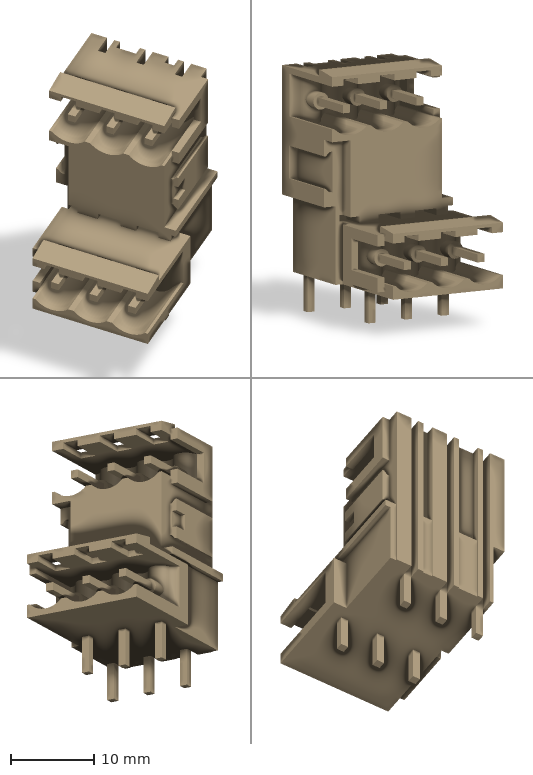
import cadquery as cq


total_width = 17.78
total_depth = 22.17
poles = 3
pitch = total_width / (poles + 0.5)
row_width = poles * pitch
lower_row_x = pitch / 2
upper_row_y = 2 * pitch
upper_row_z = 17.72

roof_bottom = 6.85
roof_top = 7.62
lip_depth = 3.15
lip_front_top = 8.0
lip_rear_top = 8.45
lip_crest_width = 0.3
key_slot_width = 2.0
key_slot_depth = 4.15

floor_crest = 1.63
floor_valley = 0.75
floor_half_chord = 2.18

column_front = 8.45
column_half_width = 1.25
column_side_y = 9.18
valley_side_offset = 1.45
valley_half_width = pitch / 2 - valley_side_offset
valley_side_y = 9.52
valley_bottom = 10.13

collar_radius = 1.05
collar_front = 7.03

guard_thickness = 0.95
guard_front = 2.12
guard_rear = 10.35
guard_bottom = 0.65
guard_window_rear = 8.35
guard_window_bottom = 2.4
guard_window_top = 6.23

pin_size = 0.98
pin_z = 3.78
pin_tip_y = 0.92
pin_leg_y = 9.92
pin_tail = 4.55

post_front = 12.07
post_left = 1.57
tower_step_z = 9.58
corner_top = 17.8
base_right = 16.03
foot_right = 16.75
foot_rear = 22.02
foot_bottom = 8.63

undercut_left = 2.1
undercut_top = 8.45
undercut_rear = 13.2
undercut_blocks = [(3.78, 6.42), (9.45, 11.5), (14.45, base_right)]

rear_recesses = [(3.78, 6.42), (10.2, 11.45)]
rear_recess_front = 21.05

dovetail_z = 13.8
dovetail_neck_half = 2.0
dovetail_flare_half = 2.5
dovetail_neck_length = 0.25
dovetail_flare_length = 0.75
dovetail_rear = 20.48
groove_depth = 1.17
tongue_depth = 0.95
tongue_slot_bottom = 0.3
tongue_slot_half = 1.0
tongue_slot_length = 2.0


def block(x0, x1, y0, y1, z0, z1):
    """Box between two opposite corners."""
    return cq.Workplane("XY").box(x1 - x0, y1 - y0, z1 - z0, centered=False).translate((x0, y0, z0))


def pole_x(index):
    """Centre of a pole along its row."""
    return (index + 0.5) * pitch


def socket_cavity():
    """Plug space: scalloped floor seen along Y, wavy rear wall seen along Z."""
    floor = cq.Workplane("XZ").moveTo(0, roof_bottom).lineTo(0, floor_crest)
    for i in range(poles):
        x = pole_x(i)
        floor = floor.lineTo(x - floor_half_chord, floor_crest)
        floor = floor.threePointArc((x, floor_valley), (x + floor_half_chord, floor_crest))
    floor = floor.lineTo(row_width, floor_crest).lineTo(row_width, roof_bottom).close()
    tunnel = floor.extrude(-valley_bottom)

    wall = cq.Workplane("XY").moveTo(-valley_half_width, 0).lineTo(-valley_half_width, valley_side_y)
    for i in range(poles + 1):
        valley_x = i * pitch
        wall = wall.threePointArc((valley_x, valley_bottom), (valley_x + valley_half_width, valley_side_y))
        if i < poles:
            x = pole_x(i)
            wall = wall.lineTo(x - column_half_width, column_side_y)
            wall = wall.threePointArc((x, column_front), (x + column_half_width, column_side_y))
            wall = wall.lineTo(x + valley_side_offset, valley_side_y)
    wall = wall.lineTo(row_width + valley_half_width, 0).close()
    return tunnel.intersect(wall.extrude(roof_bottom))


def latch_lip():
    """Sloped bar along the roof's front edge."""
    profile = [
        (0, roof_top),
        (0, lip_front_top),
        (lip_depth - lip_crest_width, lip_rear_top),
        (lip_depth, lip_rear_top),
        (lip_depth, roof_top),
    ]
    return cq.Workplane("YZ").polyline(profile).close().extrude(row_width)


def key_slots():
    """Slots through the roof, one above each pole, bridged by the lip."""
    slots = cq.Workplane("XY")
    for i in range(poles):
        left = pole_x(i) - key_slot_width / 2
        slots = slots.add(block(left, left + key_slot_width, 0, key_slot_depth, roof_bottom, roof_top))
    return slots.combine()


def pin_collars():
    """Round collars where the pins leave the rear wall."""
    centers = [(pole_x(i), pin_z) for i in range(poles)]
    plane = cq.Workplane("XZ", origin=(0, collar_front, 0))
    return plane.pushPoints(centers).circle(collar_radius).extrude(collar_front - pin_leg_y)


def end_guard(end_x):
    """U-shaped guard, open to the front, rising from end_x toward +X."""
    outer_x = end_x + guard_thickness
    plate = block(end_x, outer_x, guard_front, guard_rear, guard_bottom, roof_top)
    window = block(end_x, outer_x, guard_front, guard_window_rear, guard_window_bottom, guard_window_top)
    return plate.cut(window)


def add_socket(body, offset, guard_x):
    """Shape one socket row into a solid body."""
    body = body.union(latch_lip().translate(offset))
    body = body.cut(socket_cavity().translate(offset)).cut(key_slots().translate(offset))
    return body.union(pin_collars().translate(offset)).union(end_guard(guard_x).translate(offset))


def dovetail(end_x, depth):
    """Dovetail bar along Y that starts at end_x and widens toward +X."""
    half_profile = [
        (0, dovetail_neck_half),
        (dovetail_neck_length, dovetail_neck_half),
        (dovetail_flare_length, dovetail_flare_half),
        (depth, dovetail_flare_half),
    ]
    upper = [(end_x + x, dovetail_z + half) for x, half in half_profile]
    lower = [(end_x + x, dovetail_z - half) for x, half in reversed(half_profile)]
    plane = cq.Workplane("XZ", origin=(0, post_front, 0))
    return plane.polyline(upper + lower).close().extrude(post_front - dovetail_rear)


def body_blank():
    """Tower, base and lower row before the sockets are cut."""
    tower = block(0, row_width, upper_row_y, total_depth, tower_step_z, upper_row_z + roof_top)
    corner = block(0, lower_row_x, upper_row_y, post_front, tower_step_z, corner_top)
    neck = block(lower_row_x, row_width, upper_row_y, post_front, roof_top, tower_step_z)
    base = block(post_left, row_width, post_front, total_depth, 0, tower_step_z)
    base_side = block(row_width, base_right, upper_row_y, foot_rear, 0, tower_step_z)
    foot = block(base_right, foot_right, upper_row_y, foot_rear, foot_bottom, tower_step_z)
    lower_row = block(lower_row_x, total_width, 0, post_front, 0, roof_top)
    return tower.cut(corner).union(neck).union(base).union(base_side).union(foot).union(lower_row)


def undercut():
    """Gap between the lower row's roof and the tower, interrupted by blocks."""
    gap = block(undercut_left, base_right, upper_row_y, undercut_rear, roof_top, undercut_top)
    for left, right in undercut_blocks:
        gap = gap.cut(block(left, right, upper_row_y, undercut_rear, roof_top, undercut_top))
    return gap


def cut_rear(body):
    """Recesses in the rear face, and the slots in which the upper pins' legs stand."""
    top = upper_row_z + roof_top
    for left, right in rear_recesses:
        body = body.cut(block(left, right, rear_recess_front, total_depth, tower_step_z, top))
        body = body.cut(block(left, right, foot_rear, total_depth, 0, tower_step_z))
    slot_front = upper_row_y + pin_leg_y - pin_size / 2
    for i in range(poles):
        left = pole_x(i) - pin_size / 2
        body = body.cut(block(left, left + pin_size, slot_front, total_depth, 0, top))
    return body


def make_pin(x, row_y, row_z):
    """L-shaped square pin centred on x."""
    left = x - pin_size / 2
    right = x + pin_size / 2
    leg_front = row_y + pin_leg_y - pin_size / 2
    leg_rear = leg_front + pin_size
    bar_bottom = row_z + pin_z - pin_size / 2
    bar_top = bar_bottom + pin_size
    leg = block(left, right, leg_front, leg_rear, -pin_tail, bar_top)
    return leg.union(block(left, right, row_y + pin_tip_y, leg_rear, bar_bottom, bar_top))


pins = []
for row_x, row_y, row_z in [(lower_row_x, 0, 0), (0, upper_row_y, upper_row_z)]:
    for i in range(poles):
        pins.append(make_pin(row_x + pole_x(i), row_y, row_z))

housing = add_socket(body_blank(), (lower_row_x, 0, 0), -guard_thickness)
housing = add_socket(housing, (0, upper_row_y, upper_row_z), row_width)
housing = housing.cut(undercut())
housing = cut_rear(housing)
housing = housing.cut(dovetail(0, groove_depth))
tongue_slot = block(
    row_width + tongue_slot_bottom, row_width + tongue_depth,
    post_front, post_front + tongue_slot_length,
    dovetail_z - tongue_slot_half, dovetail_z + tongue_slot_half,
)
housing = housing.union(dovetail(row_width, tongue_depth).cut(tongue_slot))
for pin in pins:
    housing = housing.cut(pin)

result = cq.Compound.makeCompound([housing.solids().val(), *[pin.val() for pin in pins]])